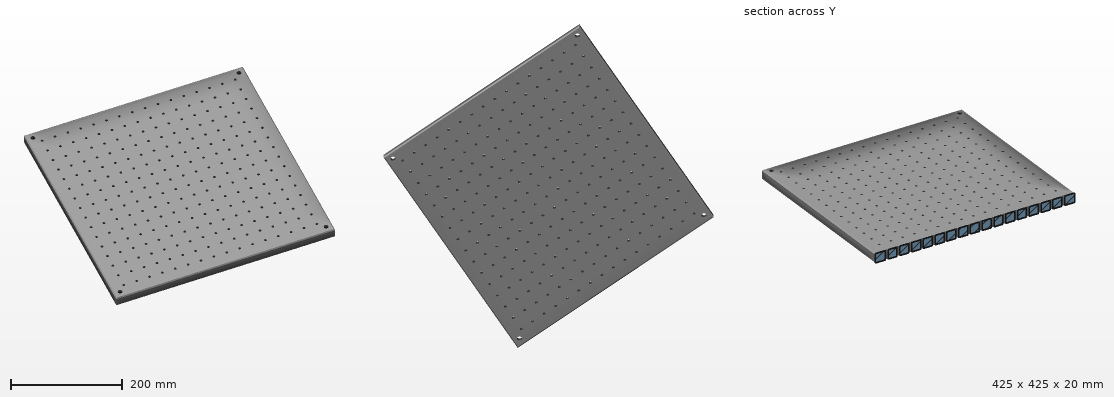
import cadquery as cq

PLATE_SIDE = 425.0
PLATE_THICKNESS = 20.0
EDGE_CHAMFER = 2.0

GRID_PITCH = 25.0
GRID_COUNT = 16
GRID_HOLE_DIAMETER = 5.0

MOUNT_HOLE_DIAMETER = 8.5
MOUNT_SPACING = PLATE_SIDE - GRID_PITCH


def make_plate():
    """Square plate on the XY plane with its top and bottom edges chamfered."""
    plate = cq.Workplane("XY").box(
        PLATE_SIDE, PLATE_SIDE, PLATE_THICKNESS, centered=(True, True, False)
    )
    return plate.faces("<Z or >Z").edges().chamfer(EDGE_CHAMFER)


def hole_pins(spacing, count, diameter):
    """Cylinders through the full thickness on a centred count x count grid."""
    return (
        cq.Workplane("XY")
        .rarray(spacing, spacing, count, count)
        .circle(diameter / 2)
        .extrude(PLATE_THICKNESS)
    )


grid_holes = hole_pins(GRID_PITCH, GRID_COUNT, GRID_HOLE_DIAMETER)
mount_holes = hole_pins(MOUNT_SPACING, 2, MOUNT_HOLE_DIAMETER)

result = make_plate().cut(grid_holes).cut(mount_holes)